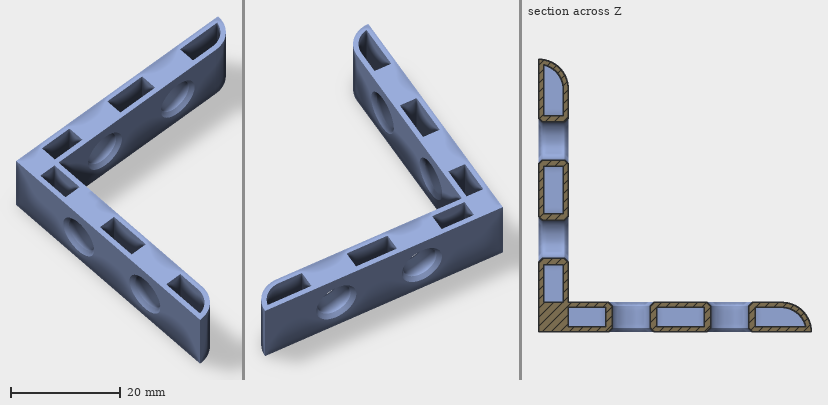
import cadquery as cq
import math

leg_length = 50.0
leg_thickness = 5.5
height = 13.0
wall = 1.0

bore_diameter = 6.9
countersink_diameter = 8.4
countersink_depth = 0.75
hole_positions = (17.0, 35.0)
hole_block_length = 9.4

hole_height = height / 2
half_block = hole_block_length / 2
tip_center = leg_length - leg_thickness
pocket_depth = height - wall
pocket_top = leg_thickness - wall


def rounded_leg_profile(start, bottom, radius):
    """Strip along X whose end is an arc of the given radius about (tip_center, 0)."""
    end = tip_center + math.sqrt(radius**2 - bottom**2)
    mid_angle = (math.asin(bottom / radius) + math.pi / 2) / 2
    arc_middle = (tip_center + radius * math.cos(mid_angle), radius * math.sin(mid_angle))
    return (
        cq.Workplane("XY")
        .moveTo(start, bottom)
        .lineTo(end, bottom)
        .threePointArc(arc_middle, (tip_center, radius))
        .lineTo(start, radius)
        .close()
    )


def rectangular_pocket(start, end):
    """Blind pocket open at the top, between two positions along the leg."""
    return (
        cq.Workplane("XY", origin=(0, 0, wall))
        .moveTo(start, wall)
        .lineTo(end, wall)
        .lineTo(end, pocket_top)
        .lineTo(start, pocket_top)
        .close()
        .extrude(pocket_depth)
    )


def countersunk_hole(position):
    """Hole through the leg along Y, countersunk on both faces."""
    bore_radius = bore_diameter / 2
    outer_center = cq.Vector(position, 0, hole_height)
    inner_center = cq.Vector(position, leg_thickness, hole_height)
    inward = cq.Vector(0, 1, 0)
    hole = cq.Solid.makeCylinder(bore_radius, leg_thickness, outer_center, inward)
    for center, direction in ((outer_center, inward), (inner_center, -inward)):
        countersink = cq.Solid.makeCone(
            countersink_diameter / 2, bore_radius, countersink_depth, center, direction
        )
        hole = hole.fuse(countersink)
    return hole


def build_leg():
    """Leg along X with its outer face on the XZ plane."""
    first_hole, second_hole = hole_positions
    leg = rounded_leg_profile(0, 0, leg_thickness).extrude(height)
    leg = leg.cut(rectangular_pocket(leg_thickness, first_hole - half_block))
    leg = leg.cut(rectangular_pocket(first_hole + half_block, second_hole - half_block))
    tip_start = second_hole + half_block
    tip_pocket = rounded_leg_profile(tip_start, wall, pocket_top).extrude(pocket_depth)
    leg = leg.cut(tip_pocket.translate((0, 0, wall)))
    for position in hole_positions:
        leg = leg.cut(cq.Workplane(countersunk_hole(position)))
    return leg


x_leg = build_leg()
y_leg = x_leg.mirror("YZ").rotate((0, 0, 0), (0, 0, 1), -90)
result = x_leg.union(y_leg)